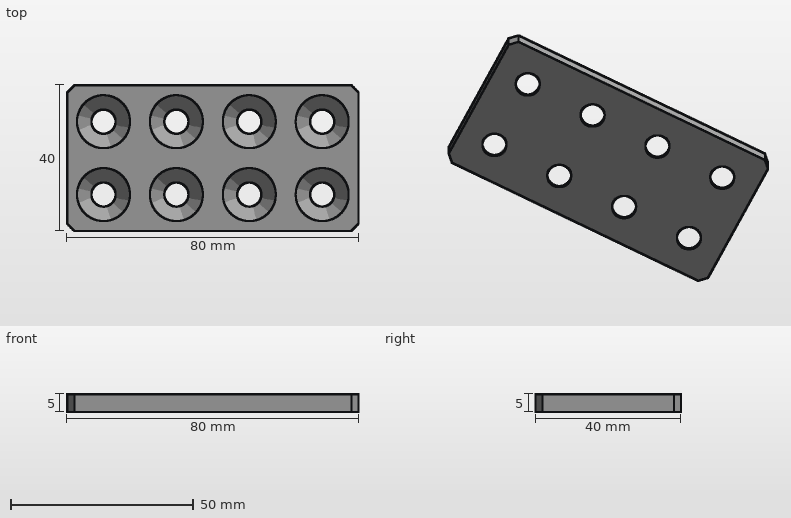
import cadquery as cq

length = 80.0
width = 40.0
thickness = 5.0
corner_chamfer = 2.0

columns = 4
rows = 2
pitch = length / columns
hole_diameter = 6.6
countersink_diameter = 14.6
countersink_angle = 90.0

plate = (
    cq.Workplane("XY")
    .box(length, width, thickness)
    .edges("|Z")
    .chamfer(corner_chamfer)
)

result = (
    plate.faces(">Z")
    .workplane()
    .rarray(pitch, pitch, columns, rows)
    .cskHole(hole_diameter, countersink_diameter, countersink_angle)
)